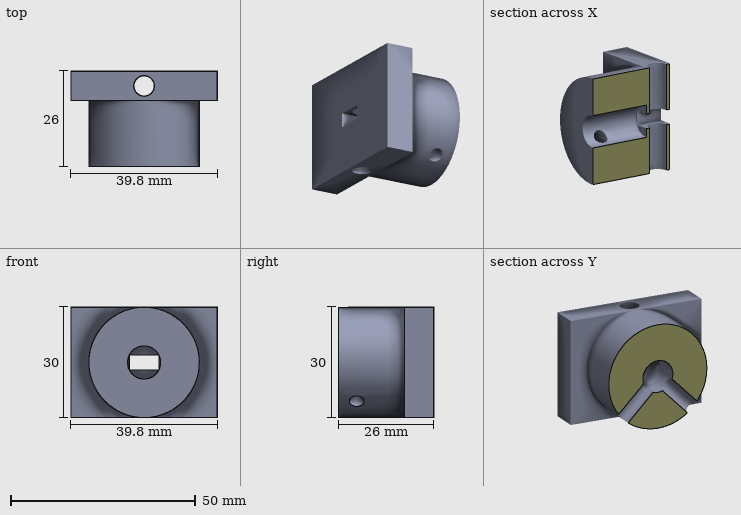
import cadquery as cq
import math

plate_width = 39.8
plate_height = 30.0
plate_thickness = 8.0

hub_diameter = plate_height
hub_length = 17.95
bore_diameter = 9.0

slot_width = 8.0
slot_height = 4.0

cross_hole_diameter = 5.5

screw_hole_diameter = 4.0
screw_hole_setback = 5.0
screw_hole_angles = (-45, -135)


def cylinder_along_y(diameter, length):
    """Cylinder on the Y axis, from the plate's front face toward -Y."""
    return cq.Workplane("XZ").circle(diameter / 2).extrude(length)


def make_cross_hole():
    """Vertical cylinder spanning the plate height."""
    return (
        cq.Workplane("XY")
        .center(0, plate_thickness / 2)
        .circle(cross_hole_diameter / 2)
        .extrude(plate_height / 2, both=True)
    )


def make_screw_hole(angle):
    """Cylinder from the hub axis outward through the hub wall."""
    start = cq.Vector(0, screw_hole_setback - hub_length, 0)
    direction = cq.Vector(math.cos(math.radians(angle)), 0, math.sin(math.radians(angle)))
    return cq.Solid.makeCylinder(screw_hole_diameter / 2, hub_diameter, start, direction)


plate = cq.Workplane("XY").box(plate_width, plate_thickness, plate_height, centered=(True, False, True))
slot = cq.Workplane("XY").box(slot_width, plate_thickness, slot_height, centered=(True, False, True))
hub = cylinder_along_y(hub_diameter, hub_length)
bore = cylinder_along_y(bore_diameter, hub_length)

result = plate.union(hub).cut(bore).cut(slot).cut(make_cross_hole())
for screw_angle in screw_hole_angles:
    result = result.cut(make_screw_hole(screw_angle))